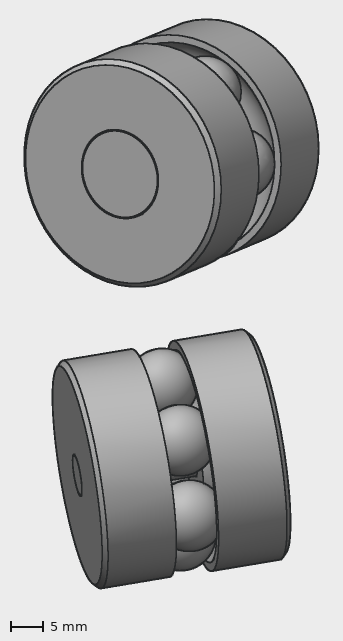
import cadquery as cq
import math

total_length = 30.15
race_gap = 6.7
front_race_diameter = 36.5
rear_race_diameter = 36.15
rim_chamfer = 0.75

shank_diameter = 6.35
bore_diameter = 6.6
head_diameter = 13.87
head_recess_diameter = 14.25

ball_count = 6
ball_diameter = 11.17
ball_circle_radius = 12.4
groove_radius = ball_diameter / 2

race_width = (total_length - race_gap) / 2
half_length = total_length / 2
head_height = race_width / 2


def cylinder_along_y(diameter, start_y, length):
    """Solid cylinder on the Y axis, growing from start_y toward +Y."""
    plane = cq.Plane(origin=(0, start_y, 0), xDir=(1, 0, 0), normal=(0, 1, 0))
    return cq.Workplane(plane).circle(diameter / 2).extrude(length)


def make_ball_track():
    """Torus around the Y axis that cuts the ball groove in both races."""
    return cq.Workplane(obj=cq.Solid.makeTorus(
        ball_circle_radius, groove_radius, cq.Vector(0, 0, 0), cq.Vector(0, 1, 0)
    ))


def make_race(diameter, start_y, outer_face):
    """Ring with a chamfered outer rim, a clearance bore and a ball groove."""
    race = cylinder_along_y(diameter, start_y, race_width)
    race = race.faces(outer_face).edges().chamfer(rim_chamfer)
    race = race.cut(cylinder_along_y(bore_diameter, start_y, race_width))
    return race.cut(make_ball_track())


def make_ball(index):
    """One ball of the evenly spaced ring; the first lies on the +X axis."""
    angle = 2 * math.pi * index / ball_count
    x = ball_circle_radius * math.cos(angle)
    z = ball_circle_radius * math.sin(angle)
    return cq.Workplane("XY").sphere(ball_diameter / 2).translate((x, 0, z))


def make_pin():
    """Shouldered pin: a wide head flush with the front face and a shank through both races."""
    shank = cylinder_along_y(shank_diameter, -half_length, total_length)
    head = cylinder_along_y(head_diameter, -half_length, head_height)
    return shank.union(head)


front_race = make_race(front_race_diameter, -half_length, "<Y")
front_race = front_race.cut(cylinder_along_y(head_recess_diameter, -half_length, head_height))
rear_race = make_race(rear_race_diameter, race_gap / 2, ">Y")
pin = make_pin()
balls = [make_ball(index) for index in range(ball_count)]

result = cq.Compound.makeCompound([
    front_race.val(),
    rear_race.val(),
    pin.val(),
    *[ball.val() for ball in balls],
])